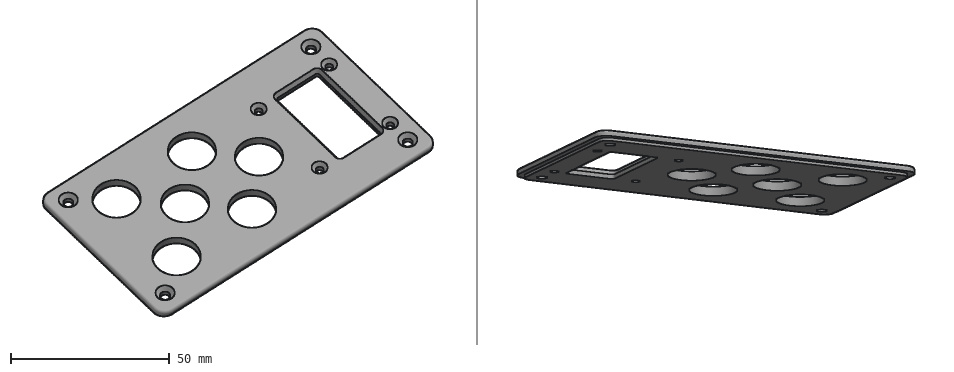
import cadquery as cq
import math

plate_width = 62.0
plate_length = 112.0
top_thickness = 2.0
step_thickness = 1.0
total_thickness = top_thickness + step_thickness
corner_radius = 4.0
rim_radius = 1.0
step_inset = 2.0
step_corner_radius = 3.0

mount_edge_distance = 6.8
mount_hole_diameter = 3.2
mount_head_diameter = 6.0

display_x = 0.2
window_y = 36.5
window_width = 31.8
window_height = 16.9
window_corner_radius = 0.9
window_flare_width = 1.0
window_flare_depth = 1.6
display_screws_y = 34.8
display_screw_spacing_x = 30.5
display_screw_spacing_y = 28.6
display_hole_diameter = 2.6
display_head_diameter = 5.0

countersink_angle = 90.0

button_diameter = 15.2
button_pitch = 15.0
upper_button_y = 8.5
bottom_row_y = -37.1


def rounded_slab(width, length, thickness, radius, base_z):
    """Flat slab centred on the Z axis with rounded vertical corners."""
    slab = cq.Workplane("XY").workplane(offset=base_z).rect(width, length).extrude(thickness)
    return slab.edges("|Z").fillet(radius)


def make_plate():
    """Stepped plate with its underside at z = 0."""
    step = rounded_slab(
        plate_width - 2 * step_inset,
        plate_length - 2 * step_inset,
        step_thickness,
        step_corner_radius,
        0,
    )
    top = rounded_slab(plate_width, plate_length, top_thickness, corner_radius, step_thickness)
    top = top.faces(">Z").edges().fillet(rim_radius)
    return step.union(top)


def on_top_face(plate):
    """Workplane on the top face, with its origin at the plate centre."""
    return plate.faces(">Z").workplane(origin=(0, 0, total_thickness))


def cut_countersunk_rectangle(plate, centre, spacing, hole_diameter, head_diameter):
    """Countersunk through holes at the corners of a rectangle."""
    return (
        on_top_face(plate)
        .center(*centre)
        .rect(*spacing, forConstruction=True)
        .vertices()
        .cskHole(hole_diameter, head_diameter, countersink_angle)
    )


def cut_window(plate):
    """Through window that flares outward towards the top face."""
    opening = rounded_slab(window_width, window_height, total_thickness, window_corner_radius, 0)
    flare_angle = math.degrees(math.atan2(window_flare_width, window_flare_depth))
    flare = (
        cq.Workplane("XY")
        .workplane(offset=total_thickness)
        .sketch()
        .rect(window_width + 2 * window_flare_width, window_height + 2 * window_flare_width)
        .vertices()
        .fillet(window_corner_radius + window_flare_width)
        .finalize()
        .extrude(-window_flare_depth, taper=flare_angle)
    )
    return plate.cut(opening.union(flare).translate((display_x, window_y, 0)))


def cut_buttons(plate):
    """Diamond of four openings with two more below it."""
    diamond_y = upper_button_y - button_pitch
    centres = [
        (0, upper_button_y),
        (-button_pitch, diamond_y),
        (button_pitch, diamond_y),
        (0, diamond_y - button_pitch),
        (-button_pitch, bottom_row_y),
        (button_pitch, bottom_row_y),
    ]
    return on_top_face(plate).pushPoints(centres).hole(button_diameter)


mount_spacing = (plate_width - 2 * mount_edge_distance, plate_length - 2 * mount_edge_distance)
display_screw_spacing = (display_screw_spacing_x, display_screw_spacing_y)

result = make_plate()
result = cut_window(result)
result = cut_buttons(result)
result = cut_countersunk_rectangle(
    result, (0, 0), mount_spacing, mount_hole_diameter, mount_head_diameter
)
result = cut_countersunk_rectangle(
    result,
    (display_x, display_screws_y),
    display_screw_spacing,
    display_hole_diameter,
    display_head_diameter,
)